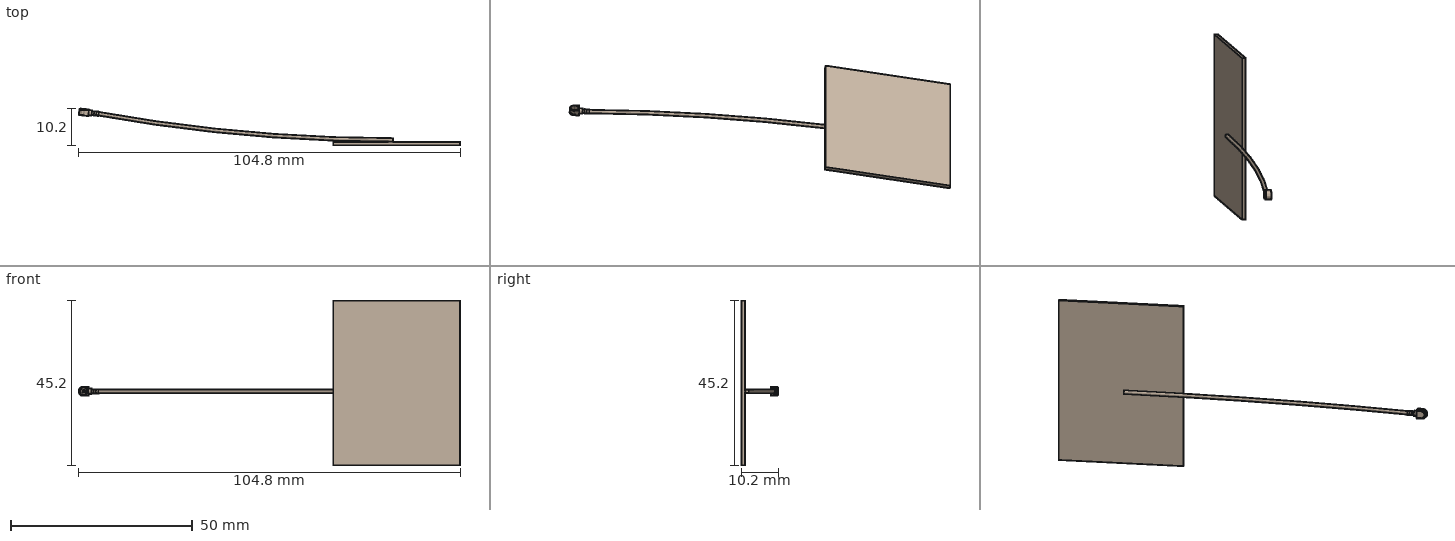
import cadquery as cq
import math

TOTAL_LENGTH = 104.7
PLATE_WIDTH = 34.9
PLATE_HEIGHT = 45.2
PLATE_THICKNESS = 1.0

CABLE_DIAMETER = 1.0
CABLE_END_X = 86.3
CABLE_Z = -2.3
CABLE_BEND_RADIUS = 458.7

PLUG_MOUTH_X = 5.4
PLUG_TILT = 6.0
CRIMP_DEPTH = 0.6
BARREL_DIAMETER = 1.3
BARREL_LENGTH = 1.3
NECK_DIAMETER = 1.0
NECK_LENGTH = 0.6
COLLAR_DIAMETER = 1.6
COLLAR_LENGTH = 0.89

HEAD_DIAMETER = 2.5
HEAD_HEIGHT = 1.9
HEAD_CHAMFER = 0.3
RIM_CHAMFER = 0.16
BLOCK_LENGTH = 1.4

SOCKET_DIAMETER = 2.1
SOCKET_DEPTH = 1.5
CONTACT_DIAMETER = 0.8
CONTACT_BORE = 0.5
CONTACT_HEIGHT = 0.3

cable_end_y = PLATE_THICKNESS + CABLE_DIAMETER / 2


def cable_angle(x):
    """Angle between the cable centreline and the X axis at the given X."""
    return math.asin((CABLE_END_X - x) / CABLE_BEND_RADIUS)


def cable_point(angle):
    """X and Y of the cable centreline where it has the given angle to the X axis."""
    return (
        CABLE_END_X - CABLE_BEND_RADIUS * math.sin(angle),
        cable_end_y + CABLE_BEND_RADIUS * (1 - math.cos(angle)),
    )


def make_plate():
    plate = cq.Workplane("XY").box(PLATE_WIDTH, PLATE_THICKNESS, PLATE_HEIGHT)
    return plate.translate((TOTAL_LENGTH - PLATE_WIDTH / 2, PLATE_THICKNESS / 2, 0))


def make_cable():
    start_angle = cable_angle(PLUG_MOUTH_X - CRIMP_DEPTH)
    path = (
        cq.Workplane("XY", origin=(0, 0, CABLE_Z))
        .moveTo(CABLE_END_X, cable_end_y)
        .threePointArc(cable_point(start_angle / 2), cable_point(start_angle))
    )
    section = cq.Workplane("YZ", origin=(CABLE_END_X, cable_end_y, CABLE_Z)).circle(CABLE_DIAMETER / 2)
    return section.sweep(path)


def make_plug_head(centre_x):
    """Head with its round end's axis along Y and its socket open on the -Y side."""
    front = cq.Workplane("XZ", origin=(centre_x, -HEAD_HEIGHT / 2, 0))
    round_end = front.circle(HEAD_DIAMETER / 2).extrude(-HEAD_HEIGHT)
    round_end = round_end.faces(">Y").edges().chamfer(HEAD_CHAMFER)
    round_end = round_end.faces("<Y").edges().chamfer(RIM_CHAMFER)
    block = front.rect(BLOCK_LENGTH, HEAD_DIAMETER).extrude(-HEAD_HEIGHT)
    block = block.faces(">Y").edges("|X").chamfer(HEAD_CHAMFER)
    block = block.translate((BLOCK_LENGTH / 2, 0, 0))

    socket = front.circle(SOCKET_DIAMETER / 2).extrude(-SOCKET_DEPTH)
    contact = (
        front.workplane(offset=-SOCKET_DEPTH)
        .circle(CONTACT_DIAMETER / 2)
        .circle(CONTACT_BORE / 2)
        .extrude(CONTACT_HEIGHT)
    )
    return round_end.union(block).cut(socket).union(contact)


def make_plug(cable):
    """Plug built along X with its mouth at the origin, then tilted and crimped over the cable."""
    sections = (
        (BARREL_DIAMETER, BARREL_LENGTH),
        (NECK_DIAMETER, NECK_LENGTH),
        (COLLAR_DIAMETER, COLLAR_LENGTH),
    )
    x = -sum(length for _, length in sections)
    plug = make_plug_head(x - BLOCK_LENGTH)
    for diameter, length in reversed(sections):
        section = cq.Workplane("YZ", origin=(x, 0, 0)).circle(diameter / 2).extrude(length)
        plug = plug.union(section)
        x += length
    mouth_x, mouth_y = cable_point(cable_angle(PLUG_MOUTH_X))
    plug = plug.rotate((0, 0, 0), (0, 0, 1), -PLUG_TILT)
    return plug.translate((mouth_x, mouth_y, CABLE_Z)).cut(cable)


plate = make_plate()
cable = make_cable()
plug = make_plug(cable)

result = cq.Compound.makeCompound([plate.val(), cable.val(), plug.val()])